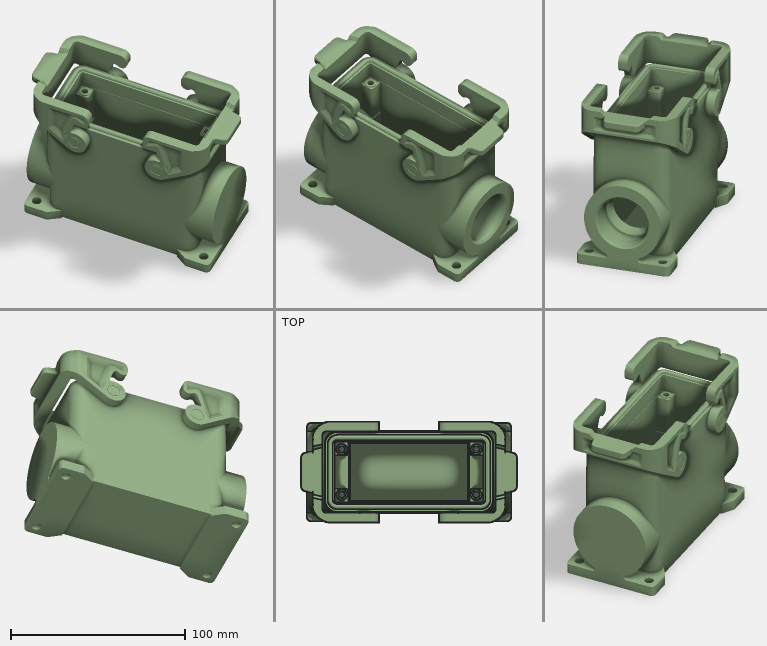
import cadquery as cq
import math

BODY_BOTTOM_Z = 1.3
RIM_Z = 79.8
SHOULDER_Z = 30.3
UPPER_HALF_X = 48.6
LOWER_HALF_X = 46.5
BODY_HALF_Y = 23.6
BODY_CORNER_R = 7.3
BODY_DRAFT = 0.5

BEAD_HALF_X = 46.75
BEAD_HALF_Y = 21.3
BEAD_CORNER_R = 5.6
BEAD_WIDTH = 2.95
BEAD_HEIGHT = 1.6
BEAD_ROUND = 1.45

MOUTH_HALF_X = 42.7
MOUTH_HALF_Y = 17.5
MOUTH_CORNER_R = 1.4
MOUTH_STEP = 0.2
POST_TOP_Z = 69.6
LEDGE_SLOPE = 24.5
LEDGE_INNER_Z = 45.3
WELL_HALF_X = 34.5
WELL_FLOOR_Z = 5.0
WELL_DRAFT = 1.0

POST_INNER_X = 35.0
POST_INNER_Y = 9.6
POST_EDGE_R = 1.5
POST_HOLE_X = 38.6
POST_HOLE_Y = 13.0
POST_RING_R = 3.1
POST_RING_HEIGHT = 0.8
POST_HOLE_R = 1.9
POST_HOLE_DEPTH = 12.0

BOSS_END_X = 58.7
BOSS_R = 23.3
BOSS_Z = 30.0
BOSS_ROOT_X = 39.2
NECK_FILLET_R = 1.5
BORE_R = 15.3
BORE_DEPTH = 15.0
BORE_CHAMFER = 1.1
CHAMFER_ANGLE = 45.0
THROUGH_R = 14.1

FOOT_HEIGHT = 6.2
FOOT_HALF_Y = 28.3
FOOT_INNER_X = 36.5
FOOT_SHOULDER_X = 43.8
FOOT_CORNER_R = 2.7
FOOT_HOLE_R = 2.75
FOOT_HOLE_X = 52.8
FOOT_HOLE_Y = 22.4

LEVER_TOP_Z = 96.9
LEVER_OUTER_X = 55.2
LEVER_INNER_X = 49.7
LEVER_OUTER_Y = 29.0
LEVER_INNER_Y = 23.4
LEVER_FLANK_R = 8.3
LEVER_FLANK_ANGLE = 60.0
LEVER_BLEND_X = 48.9
LEVER_ARM_X = 45.8
LEVER_INNER_R = 2.3
LEVER_HEEL_Z = 83.0
PIVOT_X = 25.95
PIVOT_Z = 72.1
PIVOT_R = 7.45
PIN_R = 3.65
PIN_GROOVE_R = 4.0
PIN_GROOVE_DEPTH = 0.3
PIN_ROOT_Y = 20.0

HOOK_TIP_X = 17.2
HOOK_TIP_R = 3.4
HOOK_TOP_R = 4.1
HOOK_BULB_Z = 90.3
HOOK_BULB_ANGLE = -115.0
GULLET_ANGLE = 101.0
PIVOT_MID_ANGLE = -20.0

GULLET_ARC_START = (-23.4, 88.15)
GULLET_ARC_MID = (-25.0, 88.2)
GULLET_ARC_END = (-26.0, 87.0)
GULLET_ROOT_START = (-28.2, 80.9)
GULLET_ROOT_MID = (-28.25, 79.9)

RECESS_TOP_Z = 94.3
RECESS_POINT = (-33.2, 71.0)
WEB_RECESS = [(-42.4, RECESS_TOP_Z), (-26.4, RECESS_TOP_Z), RECESS_POINT, (-42.4, 77.5)]
HOOK_RECESS = [
    (-28.0, RECESS_TOP_Z),
    (-19.4, RECESS_TOP_Z),
    (-19.4, 89.3),
    (-25.5, 92.1),
    (-27.3, 91.2),
]
TIP_RECESS = [(-34.0, 78.0), (-29.9, 77.7), RECESS_POINT]
RECESS_SLOPE = 60.0
RECESS_ROUND = 3.0
ARM_RECESS_DEPTH = 1.8
HOOK_RECESS_DEPTH = 0.8

END_RECESS_HALF_Y = 19.1
END_RECESS_BOTTOM_Z = 84.4
END_RECESS_TOP_Z = 93.3
END_RECESS_DEPTH = 1.3

TAB_TIP_X = 62.0
TAB_BOTTOM_Z = 90.3
TAB_TOP_Z = 94.9
TAB_ROOT_HALF_Y = 13.2
TAB_TIP_HALF_Y = 10.6
TAB_CORNER_R = 3.0
TAB_EDGE_R = 0.8
NOTCH_BOTTOM_HALF_Y = 12.9
NOTCH_TOP_HALF_Y = 14.8


def rounded_block(half_x, half_y, corner_r, z0, z1, draft=0.0):
    """Upright block with rounded corners, sized at z0 and drawn in by the draft towards z1."""
    outline = cq.Sketch().rect(2 * half_x, 2 * half_y).vertices().fillet(corner_r)
    return cq.Workplane("XY", origin=(0, 0, z0)).placeSketch(outline).extrude(z1 - z0, taper=draft)


def both_ends(solid):
    """The solid made for the -X end, together with its mirror image at the +X end."""
    return solid.union(solid.mirror("YZ"))


def both_sides(solid):
    """The solid made for the -Y side, together with its mirror image on the +Y side."""
    return solid.union(solid.mirror("XZ"))


def cylinder_along_x(radius, x0, x1):
    """Cylinder on the axis of the cable entries."""
    return cq.Workplane("YZ", origin=(x0, 0, BOSS_Z)).circle(radius).extrude(x1 - x0)


def make_body():
    lower_shrink = (SHOULDER_Z - BODY_BOTTOM_Z) * math.tan(math.radians(BODY_DRAFT))
    lower = rounded_block(
        LOWER_HALF_X, BODY_HALF_Y, BODY_CORNER_R, BODY_BOTTOM_Z, SHOULDER_Z, BODY_DRAFT
    )
    upper = rounded_block(
        UPPER_HALF_X, BODY_HALF_Y - lower_shrink, BODY_CORNER_R, SHOULDER_Z, RIM_Z, BODY_DRAFT
    )
    return lower.union(upper)


def make_bead():
    top_z = RIM_Z + BEAD_HEIGHT
    outer = rounded_block(BEAD_HALF_X, BEAD_HALF_Y, BEAD_CORNER_R, RIM_Z, top_z)
    inner = rounded_block(
        BEAD_HALF_X - BEAD_WIDTH, BEAD_HALF_Y - BEAD_WIDTH, BEAD_CORNER_R - BEAD_WIDTH, RIM_Z, top_z
    )
    return outer.cut(inner).faces(">Z").edges().fillet(BEAD_ROUND)


def make_foot():
    """Mounting foot at the -X end, joined to the boss above it by a neck with rounded roots."""
    outline = [
        (-BOSS_END_X, -FOOT_HALF_Y),
        (-FOOT_SHOULDER_X, -FOOT_HALF_Y),
        (-FOOT_INNER_X, -BODY_HALF_Y),
        (-FOOT_INNER_X, BODY_HALF_Y),
        (-FOOT_SHOULDER_X, FOOT_HALF_Y),
        (-BOSS_END_X, FOOT_HALF_Y),
    ]
    plate = cq.Workplane("XY").polyline(outline).close().extrude(FOOT_HEIGHT)
    plate = plate.edges("|Z and (<Y or >Y)").fillet(FOOT_CORNER_R)

    fillet_z = FOOT_HEIGHT + NECK_FILLET_R
    fillet_y = math.sqrt((BOSS_R + NECK_FILLET_R) ** 2 - (BOSS_Z - fillet_z) ** 2)
    neck_length = BOSS_END_X - BOSS_ROOT_X
    neck = (
        cq.Workplane("YZ", origin=(-BOSS_END_X, 0, FOOT_HEIGHT))
        .rect(2 * fillet_y, 2 * NECK_FILLET_R)
        .extrude(neck_length)
    )
    roots = (
        cq.Workplane("YZ", origin=(-BOSS_END_X, 0, fillet_z))
        .pushPoints([(-fillet_y, 0), (fillet_y, 0)])
        .circle(NECK_FILLET_R)
        .extrude(neck_length)
    )
    filler = (
        cq.Workplane("YZ", origin=(-BOSS_END_X, 0, FOOT_HEIGHT))
        .moveTo(-fillet_y, 0)
        .lineTo(fillet_y, 0)
        .lineTo(fillet_y, NECK_FILLET_R)
        .lineTo(0, BOSS_Z - FOOT_HEIGHT)
        .lineTo(-fillet_y, NECK_FILLET_R)
        .close()
        .extrude(neck_length)
    )
    foot = plate.union(neck.union(filler).cut(roots))
    holes = (
        cq.Workplane("XY")
        .pushPoints([(-FOOT_HOLE_X, -FOOT_HOLE_Y), (-FOOT_HOLE_X, FOOT_HOLE_Y)])
        .circle(FOOT_HOLE_R)
        .extrude(FOOT_HEIGHT)
    )
    return foot.cut(holes)


def make_cavity():
    """Mouth, sloped ledges and deep central well, leaving the four posts standing."""
    mid_half_y = MOUTH_HALF_Y - MOUTH_STEP
    mouth = rounded_block(MOUTH_HALF_X, MOUTH_HALF_Y, MOUTH_CORNER_R, POST_TOP_Z, RIM_Z + BEAD_HEIGHT)

    ledge_outer_z = LEDGE_INNER_Z + (MOUTH_HALF_X - WELL_HALF_X) * math.tan(math.radians(LEDGE_SLOPE))
    middle = (
        cq.Workplane("XZ", origin=(0, mid_half_y, 0))
        .polyline(
            [
                (-MOUTH_HALF_X, POST_TOP_Z),
                (-MOUTH_HALF_X, ledge_outer_z),
                (-WELL_HALF_X, LEDGE_INNER_Z),
                (WELL_HALF_X, LEDGE_INNER_Z),
                (MOUTH_HALF_X, ledge_outer_z),
                (MOUTH_HALF_X, POST_TOP_Z),
            ]
        )
        .close()
        .extrude(2 * mid_half_y)
    )
    well = (
        cq.Workplane("XY", origin=(0, 0, LEDGE_INNER_Z))
        .rect(2 * WELL_HALF_X, 2 * mid_half_y)
        .extrude(WELL_FLOOR_Z - LEDGE_INNER_Z, taper=WELL_DRAFT)
    )
    return mouth.union(middle.cut(make_posts())).union(well)


def make_posts():
    """Square posts with a raised ring and a screw hole, one in each corner of the cavity."""
    size_x = MOUTH_HALF_X - POST_INNER_X
    size_y = MOUTH_HALF_Y - POST_INNER_Y
    base_z = LEDGE_INNER_Z
    ring_base_z = POST_TOP_Z - POST_RING_HEIGHT
    post = (
        cq.Workplane("XY", origin=(-MOUTH_HALF_X, -MOUTH_HALF_Y, base_z))
        .rect(size_x, size_y, centered=False)
        .extrude(ring_base_z - base_z)
        .edges("|Z and >X and >Y")
        .fillet(POST_EDGE_R)
    )
    centre = cq.Workplane("XY", origin=(-POST_HOLE_X, -POST_HOLE_Y, ring_base_z))
    ring = centre.circle(POST_RING_R).extrude(POST_RING_HEIGHT)
    hole = (
        cq.Workplane("XY", origin=(-POST_HOLE_X, -POST_HOLE_Y, POST_TOP_Z))
        .circle(POST_HOLE_R)
        .extrude(-POST_HOLE_DEPTH)
    )
    return both_ends(both_sides(post.union(ring).cut(hole)))


def make_entry_bore():
    """Stepped cable entry from the -X end into the well."""
    bore = cylinder_along_x(BORE_R, -BOSS_END_X, -BOSS_END_X + BORE_DEPTH)
    through = cylinder_along_x(THROUGH_R, -BOSS_END_X, 0)
    mouth = (
        cq.Workplane("YZ", origin=(-BOSS_END_X, 0, BOSS_Z))
        .circle(BORE_R + BORE_CHAMFER)
        .extrude(BORE_CHAMFER, taper=CHAMFER_ANGLE)
    )
    return bore.union(through).union(mouth)


def lever_profile():
    """Side outline of the -X lever in the XZ plane, running clockwise from its heel."""
    heel_dx = PIVOT_X - LEVER_OUTER_X
    heel_dz = LEVER_HEEL_Z - PIVOT_Z
    heel_distance = math.hypot(heel_dx, heel_dz)
    tangent_angle = math.atan2(heel_dz, heel_dx) + math.acos(PIVOT_R / heel_distance)
    tangent = pivot_point(tangent_angle)
    gullet_end = pivot_point(math.radians(GULLET_ANGLE))
    far_side = pivot_point(math.radians(PIVOT_MID_ANGLE))

    bulb_x = -HOOK_TIP_X - HOOK_TIP_R
    bulb_angle = math.radians(HOOK_BULB_ANGLE)
    bulb_end = (
        bulb_x + HOOK_TIP_R * math.cos(bulb_angle),
        HOOK_BULB_Z + HOOK_TIP_R * math.sin(bulb_angle),
    )
    bulb_mid = (
        bulb_x + HOOK_TIP_R * math.cos(bulb_angle / 2),
        HOOK_BULB_Z + HOOK_TIP_R * math.sin(bulb_angle / 2),
    )
    corner_x = -HOOK_TIP_X - HOOK_TOP_R
    corner_z = LEVER_TOP_Z - HOOK_TOP_R
    diagonal = HOOK_TOP_R * math.sqrt(0.5)

    return (
        cq.Workplane("XZ", origin=(0, LEVER_OUTER_Y, 0))
        .moveTo(-LEVER_OUTER_X, LEVER_HEEL_Z)
        .lineTo(-LEVER_OUTER_X, LEVER_TOP_Z)
        .lineTo(corner_x, LEVER_TOP_Z)
        .threePointArc((corner_x + diagonal, corner_z + diagonal), (-HOOK_TIP_X, corner_z))
        .lineTo(-HOOK_TIP_X, HOOK_BULB_Z)
        .threePointArc(bulb_mid, bulb_end)
        .lineTo(*GULLET_ARC_START)
        .threePointArc(GULLET_ARC_MID, GULLET_ARC_END)
        .lineTo(*GULLET_ROOT_START)
        .threePointArc(GULLET_ROOT_MID, gullet_end)
        .threePointArc(far_side, tangent)
        .close()
    )


def pivot_point(angle):
    """Point on the rounded pivot end of the -X lever, as (x, z)."""
    return (-PIVOT_X + PIVOT_R * math.cos(angle), PIVOT_Z + PIVOT_R * math.sin(angle))


def lever_plan():
    """Outer corners of the -X lever seen from above: an arc, a short flat and a flatter arc."""
    turn = math.radians(LEVER_FLANK_ANGLE)
    centre_x = -LEVER_OUTER_X + LEVER_FLANK_R
    flat_x = centre_x - LEVER_FLANK_R * math.cos(turn)
    blend_turn = math.pi / 2 - turn
    blend_r = (LEVER_BLEND_X - LEVER_ARM_X) / math.sin(blend_turn)
    blend_y = LEVER_OUTER_Y - blend_r * (1 - math.cos(blend_turn))
    flat_y = blend_y - (-LEVER_BLEND_X - flat_x) * math.tan(blend_turn)
    centre_y = flat_y - LEVER_FLANK_R * math.sin(turn)
    half_turn = turn / 2
    half_blend = blend_turn / 2
    flank_mid = (
        centre_x - LEVER_FLANK_R * math.cos(half_turn),
        centre_y + LEVER_FLANK_R * math.sin(half_turn),
    )
    blend_mid = (
        -LEVER_ARM_X - blend_r * math.sin(half_blend),
        LEVER_OUTER_Y - blend_r * (1 - math.cos(half_blend)),
    )
    half = (
        cq.Workplane("XY")
        .moveTo(-LEVER_OUTER_X, 0)
        .lineTo(-LEVER_OUTER_X, centre_y)
        .threePointArc(flank_mid, (flat_x, flat_y))
        .lineTo(-LEVER_BLEND_X, blend_y)
        .threePointArc(blend_mid, (-LEVER_ARM_X, LEVER_OUTER_Y))
        .lineTo(0, LEVER_OUTER_Y)
        .lineTo(0, 0)
        .close()
        .extrude(LEVER_TOP_Z)
    )
    return both_sides(half)


def make_arm_recesses():
    """Sloped-wall recesses in the outer face of the -Y arm of the -X lever."""
    face = cq.Workplane("XZ", origin=(0, -LEVER_OUTER_Y, 0))
    web_recess = face.polyline(WEB_RECESS).close().extrude(-ARM_RECESS_DEPTH, taper=RECESS_SLOPE)
    web_recess = web_recess.edges("not #Y").edges("<X").fillet(RECESS_ROUND)
    hook_recess = face.polyline(HOOK_RECESS).close().extrude(-HOOK_RECESS_DEPTH, taper=RECESS_SLOPE)
    tip_recess = face.polyline(TIP_RECESS).close().extrude(-HOOK_RECESS_DEPTH, taper=RECESS_SLOPE)
    return web_recess.union(hook_recess).union(tip_recess)


def make_end_recess():
    """Sloped-wall recess in the end wall of the -X lever, around the root of the tab."""
    middle_z = (END_RECESS_BOTTOM_Z + END_RECESS_TOP_Z) / 2
    return (
        cq.Workplane("YZ", origin=(-LEVER_OUTER_X, 0, middle_z))
        .rect(2 * END_RECESS_HALF_Y, END_RECESS_TOP_Z - END_RECESS_BOTTOM_Z)
        .extrude(END_RECESS_DEPTH, taper=RECESS_SLOPE)
        .edges("not #X")
        .fillet(RECESS_ROUND)
    )


def make_tab():
    """Finger tab on the end wall of the -X lever."""
    outline = [
        (-LEVER_INNER_X, -TAB_ROOT_HALF_Y),
        (-TAB_TIP_X, -TAB_TIP_HALF_Y),
        (-TAB_TIP_X, TAB_TIP_HALF_Y),
        (-LEVER_INNER_X, TAB_ROOT_HALF_Y),
    ]
    return (
        cq.Workplane("XY", origin=(0, 0, TAB_BOTTOM_Z))
        .polyline(outline)
        .close()
        .extrude(TAB_TOP_Z - TAB_BOTTOM_Z)
        .edges("|Z and <X")
        .fillet(TAB_CORNER_R)
        .edges("not(|Z or >X)")
        .fillet(TAB_EDGE_R)
    )


def make_notch():
    """Notch in the top of the -X lever's end wall, level with the tab and widening inwards like it."""
    wall = LEVER_OUTER_X - LEVER_INNER_X
    flare = (TAB_ROOT_HALF_Y - TAB_TIP_HALF_Y) * wall / (TAB_TIP_X - LEVER_INNER_X)

    def opening(x, widening):
        top_y = NOTCH_TOP_HALF_Y + widening
        bottom_y = NOTCH_BOTTOM_HALF_Y + widening
        corners = [
            (-top_y, LEVER_TOP_Z),
            (-bottom_y, TAB_TOP_Z),
            (bottom_y, TAB_TOP_Z),
            (top_y, LEVER_TOP_Z),
        ]
        return cq.Wire.makePolygon([cq.Vector(x, y, z) for y, z in corners], close=True)

    mouths = [opening(-LEVER_OUTER_X, 0), opening(-LEVER_INNER_X, flare)]
    return cq.Workplane(obj=cq.Solid.makeLoft(mouths, True))


def make_pin():
    """Pivot pin from the housing wall to the outer face of the -Y arm of the -X lever."""
    return (
        cq.Workplane("XZ", origin=(-PIVOT_X, -PIN_ROOT_Y, PIVOT_Z))
        .circle(PIN_R)
        .extrude(LEVER_OUTER_Y - PIN_ROOT_Y)
    )


def make_pin_groove():
    """Shallow ring groove around the end of the pivot pin."""
    return (
        cq.Workplane("XZ", origin=(-PIVOT_X, -LEVER_OUTER_Y, PIVOT_Z))
        .circle(PIN_GROOVE_R)
        .circle(PIN_R)
        .extrude(-PIN_GROOVE_DEPTH)
    )


def make_lever():
    """U-shaped lever at the -X end: two hooked arms joined by an end wall with a tab."""
    lever = lever_profile().extrude(2 * LEVER_OUTER_Y)
    lever = lever.intersect(lever_plan())
    inside = rounded_block(LEVER_INNER_X, LEVER_INNER_Y, LEVER_INNER_R, 0, LEVER_TOP_Z)
    lever = lever.cut(inside)
    lever = lever.cut(both_sides(make_arm_recesses()))
    lever = lever.cut(make_end_recess()).cut(make_notch())
    lever = lever.union(make_tab()).union(both_sides(make_pin()))
    return lever.cut(both_sides(make_pin_groove()))


boss = cylinder_along_x(BOSS_R, -BOSS_END_X, -BOSS_ROOT_X)
housing = make_body().union(make_bead())
housing = housing.union(both_ends(boss.union(make_foot()).union(make_lever())))
result = housing.cut(make_cavity()).cut(make_entry_bore())